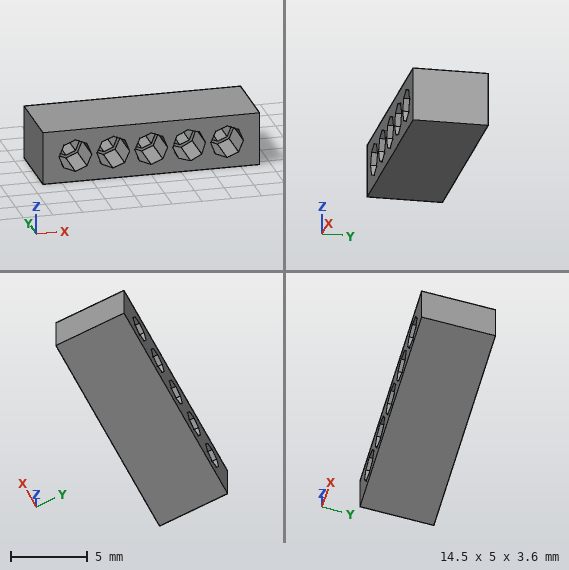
import cadquery as cq

length = 14.54
depth = 5.0
height = 3.6

hole_pitch = 2.55
socket_diameter = 2.2
bore_diameter = 1.8
socket_depth = depth / 2
octagon_sides = 8

socket_turns = [0.0, -1.5, -0.5, 5.0, -0.5]


def octagonal_prism(diameter, prism_depth, turn=0.0):
    """Octagonal prism on the Y axis, reaching inward from the front (-Y) face."""
    return (
        cq.Workplane("XZ", origin=(0, -depth / 2, 0))
        .transformed(rotate=(0, 0, turn))
        .polygon(octagon_sides, diameter)
        .extrude(-prism_depth)
    )


def stepped_hole(turn):
    """Through bore with a wider socket at the front."""
    bore = octagonal_prism(bore_diameter, depth)
    socket = octagonal_prism(socket_diameter, socket_depth, turn)
    return bore.union(socket)


result = cq.Workplane("XY").box(length, depth, height)

first_hole_x = -hole_pitch * (len(socket_turns) - 1) / 2
for index, socket_turn in enumerate(socket_turns):
    hole_x = first_hole_x + index * hole_pitch
    result = result.cut(stepped_hole(socket_turn).translate((hole_x, 0, 0)))